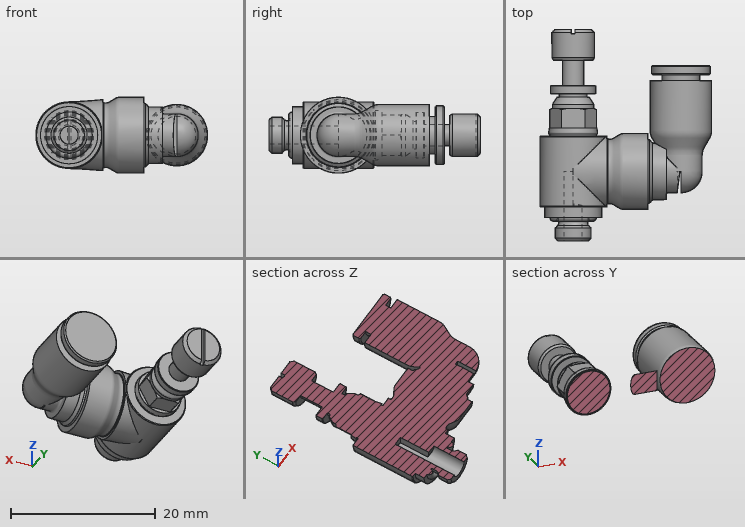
import cadquery as cq
import math


BODY_R = 4.6
BODY_HALF_LENGTH = 4.9
BODY_EDGE_CHAMFER = 0.12
COLLAR_R = 3.95
COLLAR_Y = -6.36
ORING_TUBE_R = 0.52
ORING_OUTER_R = 3.2
GROOVE_R = 2.02
GROOVE_Y = -7.16
RELIEF_LIP_R = 2.1
RELIEF_LIP_Y = -7.42
THREAD_R = 2.5
THREAD_START_Y = -7.8
THREAD_END_Y = -9.59
THREAD_CHAMFER = 0.4
BORE_R = 1.25

FLANGE_NECK_R = 3.23
FLANGE_NECK_Y = 5.14
FLANGE_R = 3.39
FLANGE_RIM_Y = 5.4
FLANGE_TOP_R = 3.29
HEX_SIDES = 6
HEX_START_Y = 6.02
HEX_ACROSS_FLATS = 5.6
HEX_CHAMFER_START_Y = 8.53
SHOULDER_R = 2.86
SHOULDER_START_Y = 8.72
SHOULDER_END_Y = 9.22
SHOULDER_CONE_R = 2.77
SHOULDER_CONE_Y = 9.44
SHOULDER_TOP_R = 2.22
SHOULDER_TOP_Y = 10.27
NUT_NECK_R = 1.92
LOCKNUT_R = 3.15
LOCKNUT_START_Y = 10.68
LOCKNUT_END_Y = 11.86
LOCKNUT_CHAMFER = 0.1
STEM_R = 1.48
KNOB_R = 2.95
KNOB_START_Y = 15.34
KNOB_END_Y = 19.61
KNOB_LOWER_CHAMFER_LENGTH = 0.36
KNOB_LOWER_CHAMFER_DEPTH = 0.24
KNOB_TOP_CHAMFER = 0.46
SLOT_WIDTH = 0.5
SLOT_DEPTH = 0.6

BRANCH_START_R = 4.62
BRANCH_RIM_R = 4.9
BRANCH_RIM_X = 4.45
BRANCH_END_X = 4.65
NECK_LIP_R = 4.52
NECK_LIP_X = 4.78
NECK_R = 4.46
NECK_FLARE_X = 5.05
NECK_END_X = 5.61
SLEEVE_R = 5.25
SLEEVE_SHOULDER_X = 6.42
SLEEVE_START_X = 6.93
SLEEVE_END_X = 10.31
SLEEVE_CONE_ANGLE = 32.0
RING_START_R = 4.45
RING_CONE_R = 4.37
RING_CONE_X = 10.56
RING_R = 3.92
RING_START_X = 10.97
RING_TAPER_X = 12.05
RING_END_R = 3.88
RING_END_X = 12.85

PORT_X = 14.86
ELBOW_R = 2.95
LEG_FILLET_R = 0.24
SLIT_INNER_WIDTH = 0.12
SLIT_OUTER_WIDTH = 0.5
PORT_R = 4.25
PORT_CONE_ANGLE = 30.0
FLARE_START_Y = 2.25
FLARE_CONE_Y = 3.31
PORT_SHOULDER_Y = 4.63
PORT_START_Y = 5.59
PORT_END_Y = 12.54
COLLET_NECK_R = 2.61
COLLET_R = 4.07
COLLET_START_Y = 13.33
COLLET_END_Y = 14.65
COLLET_CHAMFER = 0.2


def turned_y(stations):
    """Solid of revolution about Y from (radius, y) stations in order along Y."""
    outline = cq.Workplane("XY").moveTo(0, stations[0][1])
    for radius, y in stations:
        outline = outline.lineTo(radius, y)
    return outline.lineTo(0, stations[-1][1]).close().revolve(360, (0, 0, 0), (0, 1, 0))


def disc_y(radius, start, end):
    """Plain cylinder on the Y axis."""
    return turned_y([(radius, start), (radius, end)])


def valve_body():
    body = disc_y(BODY_R, -BODY_HALF_LENGTH, BODY_HALF_LENGTH)
    body = body.edges("%CIRCLE").chamfer(BODY_EDGE_CHAMFER)
    return body.union(disc_y(COLLAR_R, COLLAR_Y, 0))


def threaded_end():
    end = turned_y([
        (THREAD_R - THREAD_CHAMFER, THREAD_END_Y),
        (THREAD_R, THREAD_END_Y + THREAD_CHAMFER),
        (THREAD_R, THREAD_START_Y),
        (RELIEF_LIP_R, RELIEF_LIP_Y),
        (GROOVE_R, GROOVE_Y),
        (GROOVE_R, 0),
    ])
    oring = (
        cq.Workplane("XY")
        .center(ORING_OUTER_R - ORING_TUBE_R, COLLAR_Y)
        .circle(ORING_TUBE_R)
        .revolve(360, (ORING_TUBE_R - ORING_OUTER_R, 0), (ORING_TUBE_R - ORING_OUTER_R, 1))
    )
    return end.union(oring)


def needle_guide():
    hex_corner_r = HEX_ACROSS_FLATS / 2 / math.cos(math.pi / HEX_SIDES)
    flange = turned_y([
        (FLANGE_NECK_R, 0),
        (FLANGE_NECK_R, FLANGE_NECK_Y),
        (FLANGE_R, FLANGE_NECK_Y),
        (FLANGE_R, FLANGE_RIM_Y),
        (FLANGE_TOP_R, HEX_START_Y),
    ])
    hex_length = SHOULDER_START_Y - HEX_START_Y
    hexagon = (
        cq.Workplane("XZ", origin=(0, HEX_START_Y, 0))
        .polygon(HEX_SIDES, 2 * hex_corner_r)
        .extrude(-hex_length)
    )
    chamfer_cone = turned_y([
        (hex_corner_r, HEX_START_Y),
        (hex_corner_r, HEX_CHAMFER_START_Y),
        (SHOULDER_R, SHOULDER_START_Y),
    ])
    shoulder = turned_y([
        (SHOULDER_R, SHOULDER_START_Y),
        (SHOULDER_R, SHOULDER_END_Y),
        (SHOULDER_CONE_R, SHOULDER_CONE_Y),
        (SHOULDER_TOP_R, SHOULDER_TOP_Y),
    ])
    return flange.union(hexagon.intersect(chamfer_cone)).union(shoulder)


def adjusting_screw():
    neck = disc_y(NUT_NECK_R, SHOULDER_TOP_Y, LOCKNUT_START_Y)
    locknut = disc_y(LOCKNUT_R, LOCKNUT_START_Y, LOCKNUT_END_Y)
    locknut = locknut.edges("%CIRCLE").chamfer(LOCKNUT_CHAMFER)
    stem = disc_y(STEM_R, LOCKNUT_END_Y, KNOB_START_Y)
    knob = turned_y([
        (KNOB_R - KNOB_LOWER_CHAMFER_DEPTH, KNOB_START_Y),
        (KNOB_R, KNOB_START_Y + KNOB_LOWER_CHAMFER_LENGTH),
        (KNOB_R, KNOB_END_Y - KNOB_TOP_CHAMFER),
        (KNOB_R - KNOB_TOP_CHAMFER, KNOB_END_Y),
    ])
    slot = (
        cq.Workplane("XY")
        .box(SLOT_WIDTH, 2 * SLOT_DEPTH, 2 * KNOB_R)
        .translate((0, KNOB_END_Y, 0))
    )
    return neck.union(locknut).union(stem).union(knob.cut(slot))


def bend(radius, station, run, angle_degrees, side):
    """Middle and end of a profile arc that starts parallel to the axis.

    The arc bends by the angle over the signed run along the axis; side is +1
    where the radius grows along the arc and -1 where it shrinks.
    Points are (radius, station) pairs.
    """
    angle = math.radians(angle_degrees)
    arc_r = run / math.sin(angle)
    points = []
    for turn in (angle / 2, angle):
        rise = side * abs(arc_r) * (1 - math.cos(turn))
        points.append((radius + rise, station + arc_r * math.sin(turn)))
    return points


def swivel_branch():
    neck_run = NECK_END_X - NECK_FLARE_X
    shoulder_run = SLEEVE_SHOULDER_X - SLEEVE_START_X
    neck_middle, neck_end = bend(NECK_R, NECK_FLARE_X, neck_run, SLEEVE_CONE_ANGLE, 1)
    shoulder_middle, shoulder_end = bend(SLEEVE_R, SLEEVE_START_X, shoulder_run, SLEEVE_CONE_ANGLE, -1)
    return (
        cq.Workplane("XY")
        .lineTo(0, BRANCH_START_R)
        .lineTo(BRANCH_RIM_X, BRANCH_RIM_R)
        .lineTo(BRANCH_END_X, BRANCH_RIM_R)
        .lineTo(BRANCH_END_X, NECK_LIP_R)
        .lineTo(NECK_LIP_X, NECK_LIP_R)
        .lineTo(NECK_LIP_X, NECK_R)
        .lineTo(NECK_FLARE_X, NECK_R)
        .threePointArc(neck_middle[::-1], neck_end[::-1])
        .lineTo(*shoulder_end[::-1])
        .threePointArc(shoulder_middle[::-1], (SLEEVE_START_X, SLEEVE_R))
        .lineTo(SLEEVE_END_X, SLEEVE_R)
        .lineTo(SLEEVE_END_X, RING_START_R)
        .lineTo(RING_CONE_X, RING_CONE_R)
        .lineTo(RING_START_X, RING_R)
        .lineTo(RING_TAPER_X, RING_R)
        .lineTo(RING_END_X, RING_END_R)
        .lineTo(RING_END_X, 0)
        .close()
        .revolve(360, (0, 0, 0), (1, 0, 0))
    )


def tube_port():
    """Port on its own axis, with the push-in collet at the free end."""
    flare_run = FLARE_CONE_Y - FLARE_START_Y
    shoulder_run = PORT_SHOULDER_Y - PORT_START_Y
    flare_middle, flare_end = bend(ELBOW_R, FLARE_START_Y, flare_run, PORT_CONE_ANGLE, 1)
    shoulder_middle, shoulder_end = bend(PORT_R, PORT_START_Y, shoulder_run, PORT_CONE_ANGLE, -1)
    port = (
        cq.Workplane("XY")
        .lineTo(ELBOW_R, 0)
        .lineTo(ELBOW_R, FLARE_START_Y)
        .threePointArc(flare_middle, flare_end)
        .lineTo(*shoulder_end)
        .threePointArc(shoulder_middle, (PORT_R, PORT_START_Y))
        .lineTo(PORT_R, PORT_END_Y)
        .lineTo(0, PORT_END_Y)
        .close()
        .revolve(360, (0, 0, 0), (0, 1, 0))
    )
    collet_neck = disc_y(COLLET_NECK_R, PORT_END_Y, COLLET_START_Y)
    collet = disc_y(COLLET_R, COLLET_START_Y, COLLET_END_Y)
    collet = collet.edges("%CIRCLE").chamfer(COLLET_CHAMFER)
    return port.union(collet_neck).union(collet).translate((PORT_X, 0, 0))


def elbow_leg():
    """Leg from the swivel ring to the port axis, slit open on its outer side."""
    fillet_middle = LEG_FILLET_R * (1 - math.sqrt(0.5))
    leg = (
        cq.Workplane("XY")
        .moveTo(RING_END_X, 0)
        .lineTo(RING_END_X, ELBOW_R + LEG_FILLET_R)
        .threePointArc(
            (RING_END_X + fillet_middle, ELBOW_R + fillet_middle),
            (RING_END_X + LEG_FILLET_R, ELBOW_R),
        )
        .lineTo(PORT_X, ELBOW_R)
        .lineTo(PORT_X, 0)
        .close()
        .revolve(360, (0, 0, 0), (1, 0, 0))
    )
    slit_x = PORT_X - SLIT_INNER_WIDTH
    slit_bulge = SLIT_OUTER_WIDTH - SLIT_INNER_WIDTH
    slit = (
        cq.Workplane("XZ", origin=(slit_x, 0, 0))
        .ellipse(slit_bulge, ELBOW_R)
        .extrude(ELBOW_R)
    )
    slit_throat = (
        cq.Workplane("XY", origin=(slit_x, -ELBOW_R, 0))
        .box(SLIT_INNER_WIDTH, ELBOW_R, 2 * ELBOW_R, centered=(False, False, True))
    )
    return leg.cut(slit.union(slit_throat))


def elbow_corner():
    """Quarter ball that rounds the outer corner of the elbow."""
    ball = cq.Workplane("XY").sphere(ELBOW_R)
    outer_quadrant = (
        cq.Workplane("XY", origin=(0, -ELBOW_R, 0))
        .box(ELBOW_R, ELBOW_R, 2 * ELBOW_R, centered=(False, False, True))
    )
    return ball.intersect(outer_quadrant).translate((PORT_X, 0, 0))


def flow_bore():
    """Axial bore from the threaded end; the swivel branch starts at X = 0 and fills its +X half."""
    return disc_y(BORE_R, THREAD_END_Y, 0)


result = valve_body().union(threaded_end()).cut(flow_bore())
result = result.union(needle_guide()).union(adjusting_screw()).union(swivel_branch())
result = result.union(elbow_leg()).union(tube_port()).union(elbow_corner())